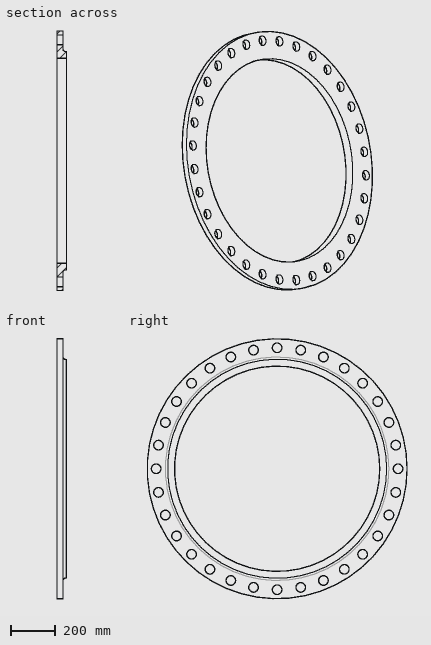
import cadquery as cq
import math

outer_diameter = 1168.0
bore_diameter = 921.0
flange_thickness = 28.0
total_thickness = 44.0

hub_diameter = 984.0
hub_fillet_radius = 10.0

bolt_count = 32
bolt_circle_diameter = 1087.0
bolt_hole_diameter = 42.0


def ring_body():
    """Revolve the half section, drawn as (axial, radial), about the X axis."""
    hub_radius = hub_diameter / 2
    fillet_end = flange_thickness + hub_fillet_radius
    fillet_top = hub_radius + hub_fillet_radius
    diagonal = hub_fillet_radius * math.sqrt(0.5)
    fillet_middle = (fillet_end - diagonal, fillet_top - diagonal)
    section = (
        cq.Workplane("XY")
        .moveTo(0, bore_diameter / 2)
        .lineTo(0, outer_diameter / 2)
        .lineTo(flange_thickness, outer_diameter / 2)
        .lineTo(flange_thickness, fillet_top)
        .threePointArc(fillet_middle, (fillet_end, hub_radius))
        .lineTo(total_thickness, hub_radius)
        .lineTo(total_thickness, bore_diameter / 2)
        .close()
    )
    return section.revolve(360, (0, 0, 0), (1, 0, 0))


def bolt_holes():
    """Cylinders on the bolt circle, passing through the flange."""
    return (
        cq.Workplane("YZ")
        .polarArray(bolt_circle_diameter / 2, 0, 360, bolt_count)
        .circle(bolt_hole_diameter / 2)
        .extrude(flange_thickness)
    )


result = ring_body().cut(bolt_holes())